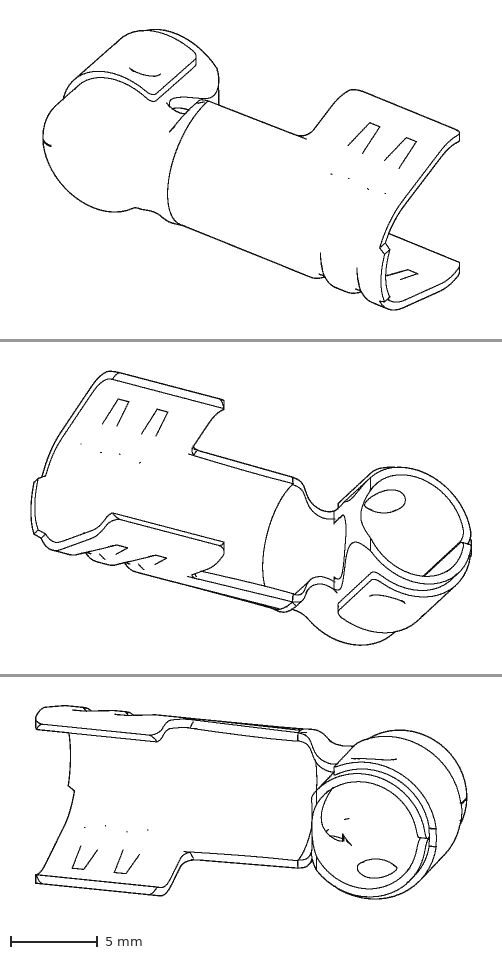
import cadquery as cq
import math


SHEET = 0.5
CLEAR = 1.23

CUP_R = 3.75
CUP_TOP = 8.9
FLOOR_FILLET = 1.0
SEAM_GAP = 0.07
SEAM_CORNER = 0.55

WALL_END_FOOT_X = 2.75
WALL_END_RIM_X = 2.85
WALL_END_POINTS = [(2.58, 4.46), (2.65, 5.03), (3.39, 7.11), (3.43, 7.85), (3.26, 8.46),
                   (WALL_END_RIM_X, CUP_TOP)]

NECK_X = 3.35
NECK_R = 1.23
NECK_Z = math.sqrt((CUP_R + NECK_R) ** 2 - NECK_X ** 2)
FLARE_FLOOR_HALF = 0.02
FLARE_STEPS = 6

CHANNEL_X = 5.45
CHANNEL_TOP = 4.17
CHANNEL_HALF = 4.15
RIM_SLOPE = 0.2
TROUGH_R = 4.07
WALL_ANGLE = math.radians(16.9)

CRIMP_X = 12.31
CRIMP_LENGTH = 7.63
CRIMP_END = CRIMP_X + CRIMP_LENGTH
WING_BEND_Y = 6.7
WING_BEND_R = 3.43
WING_TOP = 9.15
WING_CORNER = 0.65
WING_FOOT_R = 0.74
TAB_LENGTH = 0.42
TAB_HALF_ROOT = 1.95
TAB_HALF_TIP = 1.72

GROOVE_CENTRES = (15.38, 17.93)
GROOVE_DEPTH = 0.37
GROOVE_FLOOR_HALF = 0.35
GROOVE_HALF = 0.93
GROOVE_FADE = 0.02
GROOVE_OVERLAP = 0.1

CLIP_THICK = 0.42
CLIP_R = CUP_R + CLIP_THICK
CLIP_BOTTOM = 3.29
CLIP_TOP = 8.05
CLIP_END_ANGLE = math.radians(59)
CLIP_CORNER = 0.4
BAND_HALF = 0.55
BAND_EXTRA = 0.1

DIMPLE_X = 0.27
DIMPLE_Y = 5.67
DIMPLE_R = 1.35
DIMPLE_DEPTH = 1.1
DIMPLE_FILLET = 0.83
DIMPLE_Z = CLIP_R - DIMPLE_DEPTH + DIMPLE_R


def block(x0, x1, y0, y1, z_half):
    """Box between the given X and Y limits, symmetric about Z = 0."""
    return (cq.Workplane("XY").box(x1 - x0, y1 - y0, 2 * z_half)
            .translate(((x0 + x1) / 2, (y0 + y1) / 2, 0)))


def cylinder(radius, y0, y1):
    """Cylinder on the cup axis."""
    return cq.Workplane("XZ", origin=(0, y0, 0)).circle(radius).extrude(y0 - y1)



def cup_shape(inset, top):
    """Filled cup with the near half of the neck; inset makes the matching cavity."""
    cup_r = CUP_R - inset
    neck_r = NECK_R + inset
    neck_half = NECK_Z - neck_r
    share = cup_r / (CUP_R + NECK_R)
    touch_x = NECK_X * share
    touch_z = NECK_Z * share
    turn = (math.atan2(NECK_Z, NECK_X) + math.pi / 2) / 2
    mid_x = NECK_X - neck_r * math.cos(turn)
    mid_z = NECK_Z - neck_r * math.sin(turn)
    low = (cq.Workplane("XZ", origin=(0, inset, 0))
           .moveTo(NECK_X, neck_half)
           .threePointArc((mid_x, mid_z), (touch_x, touch_z))
           .threePointArc((-cup_r, 0), (touch_x, -touch_z))
           .threePointArc((mid_x, -mid_z), (NECK_X, -neck_half))
           .close().extrude(inset - CHANNEL_TOP))
    low = low.faces("<Y").edges("not(>X)").fillet(FLOOR_FILLET - inset)
    return low.union(cylinder(cup_r, CHANNEL_TOP, top))


def wire_opening():
    """Removes the cup wall above the neck, leaving two bowed wall ends."""
    return (cq.Workplane("XY")
            .moveTo(CUP_R + CLEAR, CHANNEL_TOP).lineTo(WALL_END_FOOT_X, CHANNEL_TOP)
            .spline(WALL_END_POINTS, includeCurrent=True)
            .lineTo(WALL_END_RIM_X, CUP_TOP + CLEAR).lineTo(CUP_R + CLEAR, CUP_TOP + CLEAR)
            .close().extrude(CUP_R + CLEAR, both=True))


def seam():
    """Slit in the cup wall opposite the neck, flared by the rounded wall ends at the rim."""
    half = SEAM_GAP / 2
    corner_y = CUP_TOP - SEAM_CORNER
    arc_in = SEAM_CORNER * (1 - math.sqrt(0.5))
    return (cq.Workplane("YZ", origin=(FLOOR_FILLET - CUP_R, 0, 0))
            .moveTo(-CLEAR, -half).lineTo(corner_y, -half)
            .threePointArc((CUP_TOP - arc_in, -half - arc_in), (CUP_TOP, -half - SEAM_CORNER))
            .lineTo(CUP_TOP, half + SEAM_CORNER)
            .threePointArc((CUP_TOP - arc_in, half + arc_in), (corner_y, half))
            .lineTo(-CLEAR, half).close().extrude(-CUP_R))



def trough_wire(x, radius, floor_half, angle, inset, top, rim_slope):
    """Closed cross-section at x: a round trough, with a flat floor if wanted, and leaning walls."""
    r = radius - inset
    side_y = radius - r * math.sin(angle)
    side_z = floor_half + r * math.cos(angle)
    top_z = side_z + (top - side_y) * math.tan(angle)
    turn = (math.pi / 2 + angle) / 2
    mid_y = radius - r * math.sin(turn)
    mid_z = floor_half + r * math.cos(turn)
    wire = cq.Workplane("YZ", origin=(x, 0, 0)).moveTo(top, top_z).lineTo(side_y, side_z)
    if floor_half:
        wire = (wire.threePointArc((mid_y, mid_z), (inset, floor_half)).lineTo(inset, -floor_half)
                .threePointArc((mid_y, -mid_z), (side_y, -side_z)))
    else:
        wire = wire.threePointArc((inset, 0), (side_y, -side_z))
    wire = wire.lineTo(top, -top_z)
    if rim_slope:
        wire = wire.lineTo(top + rim_slope * top_z, 0)
    return wire.close().val()


def flare_half_width(x):
    """Half width of the neck: a concave arc running into a convex one."""
    span = CHANNEL_X - NECK_X
    rise = CHANNEL_HALF - NECK_Z
    convex_r = (span ** 2 + rise ** 2 - NECK_R ** 2) / (2 * (NECK_R + rise))
    join_x = NECK_X + span * NECK_R / (NECK_R + convex_r)
    if x <= join_x:
        return NECK_Z - math.sqrt(NECK_R ** 2 - (x - NECK_X) ** 2)
    return CHANNEL_HALF - convex_r + math.sqrt(convex_r ** 2 - (CHANNEL_X - x) ** 2)


def neck_shape(inset, top):
    """Loft from the flat-floored neck to the round channel."""
    floor_start = NECK_Z - NECK_R - FLOOR_FILLET
    wires = []
    for step in range(FLARE_STEPS + 1):
        part = step / FLARE_STEPS
        x = NECK_X + part * (CHANNEL_X - NECK_X)
        half_width = flare_half_width(x)
        floor_half = floor_start + part * (FLARE_FLOOR_HALF - floor_start)
        wires.append(trough_wire(x, half_width - floor_half, floor_half, 0, inset, top, 0))
    return cq.Workplane(cq.Solid.makeLoft(wires))


def channel_shape(inset, top, rim_slope):
    """Loft from the half-round channel to the leaning walls of the crimp."""
    start = trough_wire(CHANNEL_X, CHANNEL_HALF, 0, 0, inset, top, rim_slope)
    end = trough_wire(CRIMP_X, TROUGH_R, 0, WALL_ANGLE, inset, top, rim_slope)
    return cq.Workplane(cq.Solid.makeLoft([start, end], True))



SIN_W = math.sin(WALL_ANGLE)
COS_W = math.cos(WALL_ANGLE)
WALL_Y = TROUGH_R * (1 - SIN_W)
WALL_Z = TROUGH_R * COS_W
WALL_LENGTH = (WING_BEND_Y - WALL_Y) / COS_W


def crimp_profile(x0, x1):
    """Sheet bent into a trough with leaning walls that curl inwards at their ends."""
    bend_y = WING_BEND_Y + WING_BEND_R * SIN_W
    bend_z = WALL_Z + WALL_LENGTH * SIN_W - WING_BEND_R * COS_W
    tip_angle = math.asin((WING_TOP - bend_y) / WING_BEND_R)
    mid_angle = (tip_angle - WALL_ANGLE) / 2

    def trough(r, side):
        return TROUGH_R - r * SIN_W, side * r * COS_W

    def curl(r, angle, side):
        return bend_y + r * math.sin(angle), side * (bend_z + r * math.cos(angle))

    outer, inner = TROUGH_R, TROUGH_R - SHEET
    bend_out, bend_in = WING_BEND_R, WING_BEND_R - SHEET
    return (cq.Workplane("YZ", origin=(x0, 0, 0))
            .moveTo(*curl(bend_out, tip_angle, 1))
            .threePointArc(curl(bend_out, mid_angle, 1), curl(bend_out, -WALL_ANGLE, 1))
            .lineTo(*trough(outer, 1)).threePointArc((0, 0), trough(outer, -1))
            .lineTo(*curl(bend_out, -WALL_ANGLE, -1))
            .threePointArc(curl(bend_out, mid_angle, -1), curl(bend_out, tip_angle, -1))
            .lineTo(*curl(bend_in, tip_angle, -1))
            .threePointArc(curl(bend_in, mid_angle, -1), curl(bend_in, -WALL_ANGLE, -1))
            .lineTo(*trough(inner, -1)).threePointArc((SHEET, 0), trough(inner, 1))
            .lineTo(*curl(bend_in, -WALL_ANGLE, 1))
            .threePointArc(curl(bend_in, mid_angle, 1), curl(bend_in, tip_angle, 1))
            .close().extrude(x1 - x0))


def wings():
    """Crimp sheet with rounded wing corners."""
    outline = block(CRIMP_X, CRIMP_END, -CLEAR, WING_TOP, 2 * TROUGH_R)
    outline = outline.faces(">Y").edges("|Z").fillet(WING_CORNER)
    return crimp_profile(CRIMP_X, CRIMP_END).intersect(outline)


def wing_feet():
    """Concave rounding from the channel rims up to the wings."""
    start = CRIMP_X - WING_FOOT_R
    bow = WING_FOOT_R * math.sqrt(0.5)
    web = (cq.Workplane("XY").moveTo(start, CHANNEL_TOP).lineTo(CRIMP_X, CHANNEL_TOP)
           .lineTo(CRIMP_X, CHANNEL_TOP + WING_FOOT_R)
           .threePointArc((start + bow, CHANNEL_TOP + WING_FOOT_R - bow), (start, CHANNEL_TOP))
           .close().extrude(2 * TROUGH_R, both=True))
    return crimp_profile(start, CRIMP_X).intersect(web)


def end_tab():
    """Tapered stub left on the end of the trough."""
    tip_x = CRIMP_END + TAB_LENGTH
    outline = (cq.Workplane("XZ")
               .polyline([(CRIMP_END, -TAB_HALF_ROOT), (tip_x, -TAB_HALF_TIP),
                          (tip_x, TAB_HALF_TIP), (CRIMP_END, TAB_HALF_ROOT)])
               .close().extrude(-TROUGH_R / 2))
    return crimp_profile(CRIMP_END, tip_x).intersect(outline)


def groove_outline(plane, scale):
    """Groove section with S-shaped sides; local x runs along the part, local y out of the sheet."""
    depth = GROOVE_DEPTH * scale
    half = GROOVE_FLOOR_HALF + (GROOVE_HALF - GROOVE_FLOOR_HALF) * scale
    level = [(1, 0), (1, 0)]
    return (cq.Workplane(plane)
            .moveTo(-half, GROOVE_OVERLAP).lineTo(-half, 0)
            .spline([(-GROOVE_FLOOR_HALF, -depth)], tangents=level, includeCurrent=True)
            .lineTo(GROOVE_FLOOR_HALF, -depth)
            .spline([(half, 0)], tangents=level, includeCurrent=True)
            .lineTo(half, GROOVE_OVERLAP).close())


def groove(centre, inset):
    """Groove around the trough, fading out along both walls; inset moves it to the inner surface."""
    r = TROUGH_R - inset
    foot = (centre, TROUGH_R - r * SIN_W, r * COS_W)
    end = (centre, foot[1] + WALL_LENGTH * COS_W, foot[2] + WALL_LENGTH * SIN_W)
    along = (0, -COS_W, -SIN_W)
    foot_plane = cq.Plane(foot, xDir=(1, 0, 0), normal=along)
    end_plane = cq.Plane(end, xDir=(1, 0, 0), normal=along)
    sweep = 180 - 2 * math.degrees(WALL_ANGLE)
    bend = groove_outline(foot_plane, 1).revolve(sweep, (0, -r, 0), (1, -r, 0))
    fade = cq.Workplane(cq.Solid.makeLoft([groove_outline(foot_plane, 1).val(),
                                           groove_outline(end_plane, GROOVE_FADE).val()], True))
    return bend.union(fade).union(fade.mirror("XY"))



def dimpled_core(inset):
    """Long cylinder with the two dimples; inset gives the inner surface of the clip."""
    radius = CLIP_R - inset
    core = cylinder(radius, -CLEAR, CUP_TOP + CLEAR)
    for side in (1, -1):
        ball = cq.Workplane("XY").sphere(DIMPLE_R + inset).translate((DIMPLE_X, DIMPLE_Y, side * DIMPLE_Z))
        core = core.cut(ball)
    near_rim = cq.selectors.BoxSelector((-CUP_R, CLEAR, -CLIP_R), (CUP_R, CUP_TOP - CLEAR, CLIP_R))
    return core.edges(near_rim).edges("not %LINE").fillet(DIMPLE_FILLET - inset)



def make_terminal():
    cup = cup_shape(0, CUP_TOP).cut(cup_shape(SHEET, CUP_TOP + CLEAR))
    cup = cup.cut(wire_opening()).cut(seam())
    cup = cup.cut(cylinder(CUP_R, FLOOR_FILLET, CUP_TOP).cut(dimpled_core(CLIP_THICK)))
    neck = neck_shape(0, CHANNEL_TOP).cut(neck_shape(SHEET, CHANNEL_TOP + CLEAR))
    channel = channel_shape(0, CHANNEL_TOP, RIM_SLOPE).cut(channel_shape(SHEET, CHANNEL_TOP + CLEAR, 0))
    crimp = wings()
    for centre in GROOVE_CENTRES:
        crimp = crimp.union(groove(centre, SHEET)).cut(groove(centre, 0))
    return cup.union(neck).union(channel).union(wing_feet()).union(crimp).union(end_tab())


def make_clip():
    end_x = CLIP_R * math.cos(CLIP_END_ANGLE)
    strip = block(-CLIP_R - CLEAR, end_x, CLIP_BOTTOM, CLIP_TOP, CLIP_R + CLEAR)
    strip = strip.faces(">X").edges("|Z").fillet(CLIP_CORNER)
    band = block(-CLIP_R - CLEAR, -CUP_R / 2, CLIP_BOTTOM - BAND_EXTRA, CLIP_TOP + BAND_EXTRA, BAND_HALF)
    sheet = dimpled_core(0).cut(dimpled_core(CLIP_THICK))
    return sheet.intersect(strip.union(band))


terminal = make_terminal()
clip = make_clip()
result = cq.Compound.makeCompound([*terminal.vals(), *clip.vals()])